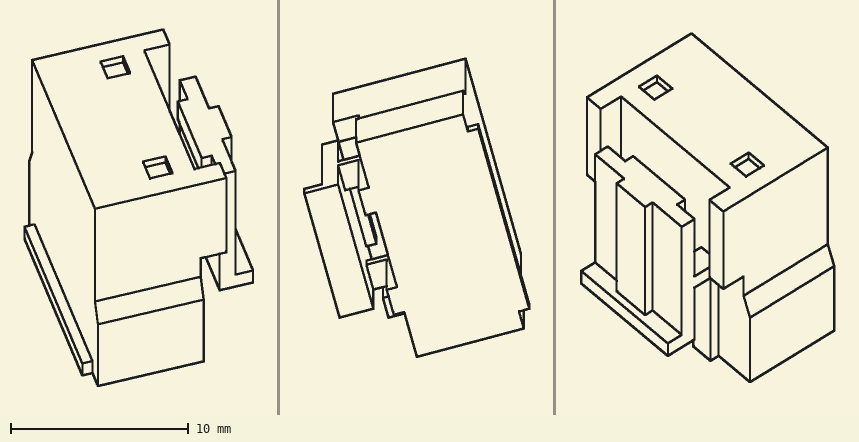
import cadquery as cq

HEIGHT = 14.3
BASE_WIDTH = 12.91
UPPER_WIDTH = 11.8
BODY_DEPTH = 6.23
TAPER_BOTTOM = 5.19
TAPER_TOP = 6.52

GUARD_THICKNESS = 1.2
GUARD_DEPTH = 1.5
GUARD_BOTTOM = 8.07

LIP_WIDTH = 10.85
LIP_DEPTH = 0.6
LIP_HEIGHT = 1.02

POCKET_SIZE = 1.33
POCKET_DEPTH = 0.51
POCKET_SPACING = 7.94
POCKET_Y = -1.93

LATCH_WIDTH = 7.5
LATCH_BOTTOM = 2.5
LATCH_TOP = 12.21
PLATE_INNER_Y = 1.79
PLATE_OUTER_Y = 2.73
GRIP_OUTER_Y = 3.76
GRIP_TOP = 3.52
RIB_WIDTH = 2.46
RIB_OUTER_Y = 3.29
ARM_WIDTH = 1.5
ARM_BOTTOM = 6.69
ARM_TOP = 7.6
LEG_THICKNESS = 0.6
TAB_INNER_Y = 1.2
TAB_BOTTOM = 10.7


def block(width, y_range, z_range, x_center=0):
    """Box centred at x_center and spanning the given Y and Z ranges."""
    y_min, y_max = y_range
    z_min, z_max = z_range
    box = cq.Workplane("XY").box(width, y_max - y_min, z_max - z_min, centered=(True, False, False))
    return box.translate((x_center, y_min, z_min))


def make_housing():
    """Tapered body with guard walls, a front lip and two top pockets."""
    base_x = BASE_WIDTH / 2
    upper_x = UPPER_WIDTH / 2
    body = (
        cq.Workplane("XZ")
        .polyline([
            (-base_x, 0),
            (base_x, 0),
            (base_x, TAPER_BOTTOM),
            (upper_x, TAPER_TOP),
            (upper_x, HEIGHT),
            (-upper_x, HEIGHT),
            (-upper_x, TAPER_TOP),
            (-base_x, TAPER_BOTTOM),
        ])
        .close()
        .extrude(BODY_DEPTH)
    )
    body = body.union(block(LIP_WIDTH, (-BODY_DEPTH - LIP_DEPTH, -BODY_DEPTH), (0, LIP_HEIGHT)))
    guard_x = (UPPER_WIDTH - GUARD_THICKNESS) / 2
    pocket_y_range = (POCKET_Y - POCKET_SIZE / 2, POCKET_Y + POCKET_SIZE / 2)
    for side in (-1, 1):
        body = body.union(
            block(GUARD_THICKNESS, (0, GUARD_DEPTH), (GUARD_BOTTOM, HEIGHT), side * guard_x)
        )
        body = body.cut(
            block(POCKET_SIZE, pocket_y_range, (HEIGHT - POCKET_DEPTH, HEIGHT), side * POCKET_SPACING / 2)
        )
    return body


def make_latch():
    """Latch plate with a grip, centre rib and inner tab, carried by two arms."""
    latch = block(LATCH_WIDTH, (PLATE_INNER_Y, PLATE_OUTER_Y), (LATCH_BOTTOM, LATCH_TOP))
    latch = latch.union(block(LATCH_WIDTH, (PLATE_OUTER_Y, GRIP_OUTER_Y), (LATCH_BOTTOM, GRIP_TOP)))
    latch = latch.union(block(RIB_WIDTH, (PLATE_OUTER_Y, RIB_OUTER_Y), (GRIP_TOP, LATCH_TOP)))
    tab_width = LATCH_WIDTH - 2 * ARM_WIDTH
    latch = latch.union(block(tab_width, (TAB_INNER_Y, PLATE_INNER_Y), (TAB_BOTTOM, LATCH_TOP)))
    arm_x = (LATCH_WIDTH - ARM_WIDTH) / 2
    for side in (-1, 1):
        latch = latch.union(block(ARM_WIDTH, (0, PLATE_INNER_Y), (ARM_BOTTOM, ARM_TOP), side * arm_x))
        latch = latch.union(block(ARM_WIDTH, (0, LEG_THICKNESS), (0, ARM_BOTTOM), side * arm_x))
    return latch


result = make_housing().union(make_latch())